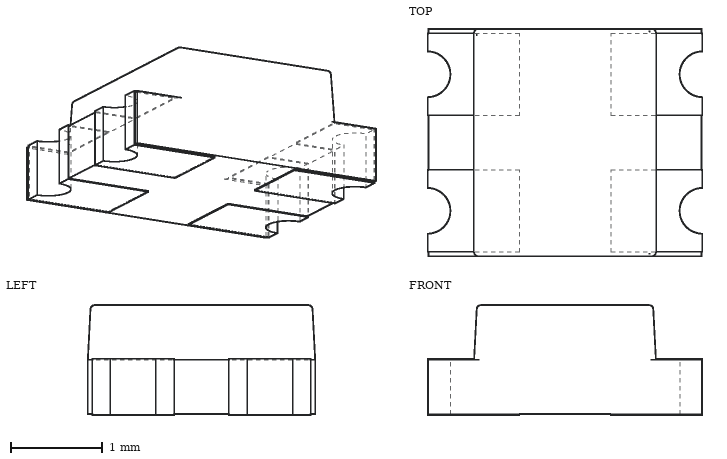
import cadquery as cq

BOARD_LENGTH = 3.0
BOARD_WIDTH = 2.5
BOARD_HEIGHT = 0.6

PLATING = 0.01
PAD_INNER_Y = 0.3
PAD_OUTER_Y = 1.2
TOP_PAD_LENGTH = 0.5
BOTTOM_PAD_LENGTH = 1.0

NOTCH_RADIUS = 0.25
NOTCH_Y = (PAD_INNER_Y + PAD_OUTER_Y) / 2

LENS_LENGTH = 2.0
LENS_WIDTH = BOARD_WIDTH
LENS_HEIGHT = 0.6
LENS_DRAFT = 3.0
LENS_EDGE_RADIUS = 0.05

END_X = BOARD_LENGTH / 2
PLATED_END_X = END_X + PLATING
PAD_WIDTH = PAD_OUTER_Y - PAD_INNER_Y
SIDES = (-1, 1)


def make_board():
    """Plain rectangular board with its underside at Z = 0."""
    return cq.Workplane("XY").box(BOARD_LENGTH, BOARD_WIDTH, BOARD_HEIGHT, centered=(True, True, False))


def make_pad(side_x, side_y):
    """C-shaped plating over the top, end and underside of one board corner."""
    bottom_x = END_X - BOTTOM_PAD_LENGTH
    top_x = END_X - TOP_PAD_LENGTH
    outline = [
        (side_x * bottom_x, -PLATING),
        (side_x * PLATED_END_X, -PLATING),
        (side_x * PLATED_END_X, BOARD_HEIGHT + PLATING),
        (side_x * top_x, BOARD_HEIGHT + PLATING),
        (side_x * top_x, BOARD_HEIGHT),
        (side_x * END_X, BOARD_HEIGHT),
        (side_x * END_X, 0),
        (side_x * bottom_x, 0),
    ]
    pad = cq.Workplane("XZ").polyline(outline).close().extrude(PAD_WIDTH / 2, both=True)
    return pad.translate((0, side_y * NOTCH_Y, 0))


def make_notches():
    """Vertical cylinders, centred on the plated ends, that cut the half-round notches."""
    centres = [(x * PLATED_END_X, y * NOTCH_Y) for x in SIDES for y in SIDES]
    cutters = cq.Workplane("XY").workplane(offset=-PLATING).pushPoints(centres)
    return cutters.circle(NOTCH_RADIUS).extrude(BOARD_HEIGHT + 2 * PLATING)


def make_lens():
    """Block with drafted walls, rounded on its upright corners and top edges."""
    lens = cq.Workplane("XY").workplane(offset=BOARD_HEIGHT).rect(LENS_LENGTH, LENS_WIDTH)
    lens = lens.extrude(LENS_HEIGHT, taper=LENS_DRAFT)
    return lens.edges("not <Z").fillet(LENS_EDGE_RADIUS)


body = make_board()
for side_x in SIDES:
    for side_y in SIDES:
        body = body.union(make_pad(side_x, side_y))

result = body.cut(make_notches()).union(make_lens())